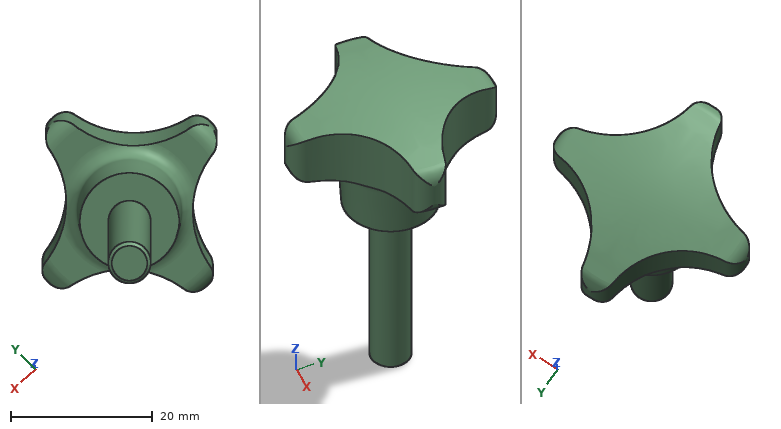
import cadquery as cq
import math

stud_length = 30.0
hub_height = 10.0
total_height = 50.0
head_bottom = stud_length + hub_height

stud_radius = 3.0
stud_chamfer = 0.5

hub_end_radius = 7.0
hub_neck_radius = 7.4
flare_radius = 2.5
flare_start = head_bottom - flare_radius

arm_count = 4
head_radius = 16.0
tip_radius = 2.5
tip_distance = head_radius - tip_radius
scallop_offset = head_radius
dome_radius = 50.0
rim_radius = 2.5
rim_clearance = 0.005


def make_stud():
    """Plain round stud with a chamfered free end."""
    stud = cq.Workplane("XY").circle(stud_radius).extrude(stud_length)
    return stud.faces("<Z").chamfer(stud_chamfer)


def make_hub():
    """Hub that widens toward the head, then flares outward in a concave arc."""
    flare_end_radius = hub_neck_radius + flare_radius
    quarter = flare_radius * (1 - math.sqrt(0.5))
    overlap_height = head_bottom + rim_radius
    profile = (
        cq.Workplane("XZ")
        .moveTo(0, stud_length)
        .lineTo(hub_end_radius, stud_length)
        .lineTo(hub_neck_radius, flare_start)
        .threePointArc(
            (hub_neck_radius + quarter, head_bottom - quarter),
            (flare_end_radius, head_bottom),
        )
        .lineTo(0, overlap_height)
        .close()
    )
    return profile.revolve(360, (0, 0, 0), (0, 1, 0))


def make_head_blank():
    """Domed disc with a rounded rim at top and bottom."""
    dome_centre = total_height - dome_radius
    disc_radius = head_radius + rim_clearance
    rim_centre = disc_radius - rim_radius
    lower_centre = head_bottom + rim_radius
    upper_centre = dome_centre + math.sqrt((dome_radius - rim_radius) ** 2 - rim_centre**2)
    lean = math.asin(rim_centre / (dome_radius - rim_radius))
    rim_middle = (lean + math.pi / 2) / 2

    def on_arc(radius, centre_x, centre_z, angle):
        return centre_x + radius * math.sin(angle), centre_z + radius * math.cos(angle)

    profile = (
        cq.Workplane("XZ")
        .moveTo(0, head_bottom)
        .lineTo(rim_centre, head_bottom)
        .threePointArc(
            on_arc(rim_radius, rim_centre, lower_centre, 3 * math.pi / 4),
            (disc_radius, lower_centre),
        )
        .lineTo(disc_radius, upper_centre)
        .threePointArc(
            on_arc(rim_radius, rim_centre, upper_centre, rim_middle),
            on_arc(rim_radius, rim_centre, upper_centre, lean),
        )
        .threePointArc(
            on_arc(dome_radius, 0, dome_centre, lean / 2),
            (0, total_height),
        )
        .close()
    )
    return profile.revolve(360, (0, 0, 0), (0, 1, 0))


def make_star():
    """Prism of four round-tipped arms joined by tangent concave scallops."""
    centre_gap = math.hypot(scallop_offset, scallop_offset - tip_distance)
    scallop_radius = centre_gap - tip_radius
    join_x = tip_distance + tip_radius * (scallop_offset - tip_distance) / centre_gap
    join_y = tip_radius * scallop_offset / centre_gap
    waist = scallop_offset * math.sqrt(2) - scallop_radius

    def turned(x, y, angle):
        cosine = math.cos(angle)
        sine = math.sin(angle)
        return x * cosine - y * sine, x * sine + y * cosine

    step = 2 * math.pi / arm_count
    outline = cq.Workplane("XY").workplane(offset=stud_length).moveTo(join_x, -join_y)
    for arm in range(arm_count):
        angle = arm * step
        outline = outline.threePointArc(turned(head_radius, 0, angle), turned(join_x, join_y, angle))
        outline = outline.threePointArc(
            turned(waist, 0, angle + step / 2),
            turned(join_x, -join_y, angle + step),
        )
    return outline.close().extrude(total_height - stud_length)


grip = make_head_blank().union(make_hub()).intersect(make_star())
result = grip.union(make_stud())